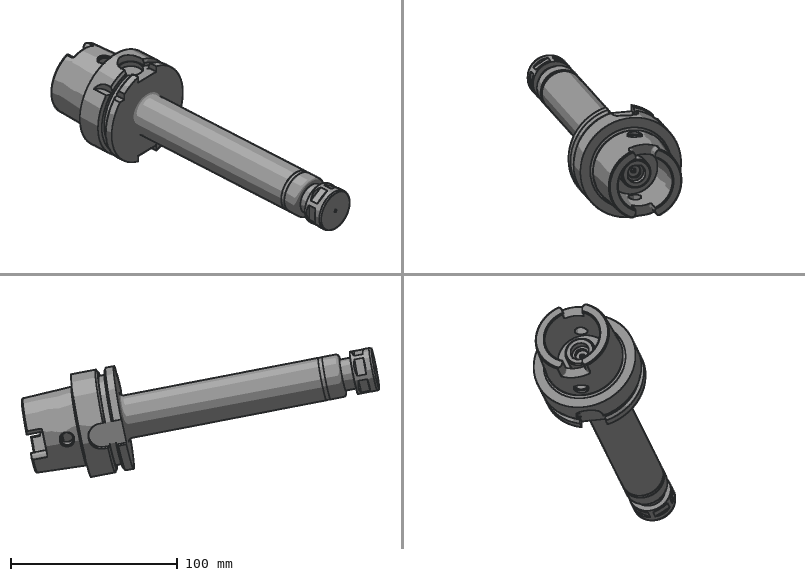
import cadquery as cq
import math

total_length = 212.0
through_radius = 0.8

taper_front_radius = 22.8
taper_back_radius = 24.06
taper_end = 29.5
rim_chamfer_length = 0.8
rim_chamfer_depth = 0.6
relief_size = 1.3
relief_depth = 0.32

flange_front = 32.0
flange_back = 58.0
flange_radius = 31.48
groove_front = 46.9
groove_back = 53.2
groove_lip = 1.3
groove_lip_radius = 29.5
groove_radius = 27.3

shank_radius = 13.04
shank_fillet = 2.8
nut_radius = shank_radius
shank_end = 192.0
shank_end_round = 2.1
band_front = 179.5
band_back = 182.1
band_depth = 0.1
neck_radius = 9.5
nut_front = 198.9
nut_front_bevel_depth = 0.1
nut_front_bevel_length = 1.3
nut_chamfer_length = 1.3
nut_chamfer_depth = 0.5

bore_radius = 17.0
bore_rim_chamfer = 0.6
bore_floor_radius = 15.7
bore_straight = 12.0
bore_floor = 28.6
tube_radius = 9.1
tube_chamfer = 0.8
tube_length = 9.1
tube_bore_radius = 5.62
tube_bore_depth = 4.2
tube_seat_radius = 3.92
tube_seat_depth = 2.1
feed_radius = 1.5
feed_depth = 2.1

drive_slot_width = 12.3
drive_slot_top_depth = 6.0
drive_slot_bottom_depth = 9.8
drive_edge_radius = 3.0
drive_edge_height = 20.8
drive_corner_radius = 1.0

access_x = 23.3
access_radius = 3.8
access_mouth_radius = 4.5
access_mouth_height = 22.5

key_center_x = 44.5
key_width = 16.0
key_floor = 26.5
pocket_radius = 7.5
pocket_depth = 3.2
notch_center_x = 43.7
notch_radius = 7.95
notch_floor = 20.1

flat_count = 6
flat_distance = 11.98
flat_start = 201.5
flat_end = 206.7
flat_end_slope = 0.5
flat_width = 2 * nut_radius


def revolve_about_x(profile):
    return profile.close().revolve(360, (0, 0, 0), (1, 0, 0))


def turned_body():
    relief_front = flange_front - relief_size
    relief_outer = taper_back_radius + relief_size
    relief_middle = (flange_front + relief_depth, taper_back_radius - relief_depth)
    end_round_middle = shank_end_round * (1 - math.sqrt(0.5))
    shank_middle = shank_fillet * (1 - math.sqrt(0.5))
    profile = (
        cq.Workplane("XY")
        .lineTo(0, taper_front_radius - rim_chamfer_depth)
        .lineTo(rim_chamfer_length, taper_front_radius)
        .lineTo(taper_end, taper_back_radius)
        .lineTo(relief_front, taper_back_radius)
        .threePointArc(relief_middle, (flange_front, relief_outer))
        .lineTo(flange_front, flange_radius)
        .lineTo(groove_front, flange_radius)
        .lineTo(groove_front + groove_lip, groove_lip_radius)
        .lineTo(groove_front + groove_lip, groove_radius)
        .lineTo(groove_back - groove_lip, groove_radius)
        .lineTo(groove_back - groove_lip, groove_lip_radius)
        .lineTo(groove_back, flange_radius)
        .lineTo(flange_back, flange_radius)
        .lineTo(flange_back, shank_radius + shank_fillet)
        .threePointArc(
            (flange_back + shank_middle, shank_radius + shank_middle),
            (flange_back + shank_fillet, shank_radius),
        )
        .lineTo(band_front, shank_radius)
        .lineTo(band_front, shank_radius - band_depth)
        .lineTo(band_back, shank_radius - band_depth)
        .lineTo(band_back, shank_radius)
        .lineTo(shank_end - shank_end_round, shank_radius)
        .threePointArc(
            (shank_end - end_round_middle, shank_radius - end_round_middle),
            (shank_end, shank_radius - shank_end_round),
        )
        .lineTo(shank_end, neck_radius)
        .lineTo(nut_front, neck_radius)
        .lineTo(nut_front, nut_radius - nut_front_bevel_depth)
        .lineTo(nut_front + nut_front_bevel_length, nut_radius)
        .lineTo(total_length - nut_chamfer_length, nut_radius)
        .lineTo(total_length, nut_radius - nut_chamfer_depth)
        .lineTo(total_length, 0)
    )
    return revolve_about_x(profile)


def bore():
    tube_front = bore_floor - tube_length
    seat_front = tube_front + tube_bore_depth
    feed_front = seat_front + tube_seat_depth
    feed_end = feed_front + feed_depth
    profile = (
        cq.Workplane("XY")
        .lineTo(0, bore_radius + bore_rim_chamfer)
        .lineTo(bore_rim_chamfer, bore_radius)
        .lineTo(bore_straight, bore_radius)
        .lineTo(bore_floor, bore_floor_radius)
        .lineTo(bore_floor, tube_radius)
        .lineTo(tube_front + tube_chamfer, tube_radius)
        .lineTo(tube_front, tube_radius - tube_chamfer)
        .lineTo(tube_front, tube_bore_radius)
        .lineTo(seat_front, tube_bore_radius)
        .lineTo(seat_front, tube_seat_radius)
        .lineTo(feed_front, tube_seat_radius)
        .lineTo(feed_front, feed_radius)
        .lineTo(feed_end, feed_radius)
        .lineTo(feed_end, through_radius)
        .lineTo(total_length, through_radius)
        .lineTo(total_length, 0)
    )
    return revolve_about_x(profile)


def drive_slot(depth):
    """Slot on the +Z side whose walls round over into the taper's outside."""
    half_width = drive_slot_width / 2
    outer_half = half_width + drive_edge_radius
    round_start = drive_edge_height - drive_edge_radius
    round_offset = drive_edge_radius * math.sqrt(0.5)
    round_middle = (outer_half - round_offset, round_start + round_offset)
    return (
        cq.Workplane("YZ")
        .moveTo(-half_width, 0)
        .lineTo(half_width, 0)
        .lineTo(half_width, round_start)
        .threePointArc(round_middle, (outer_half, drive_edge_height))
        .lineTo(outer_half, flange_radius)
        .lineTo(-outer_half, flange_radius)
        .lineTo(-outer_half, drive_edge_height)
        .threePointArc((-round_middle[0], round_middle[1]), (-half_width, round_start))
        .close()
        .extrude(depth)
        .edges("|Z and >X")
        .fillet(drive_corner_radius)
    )


def access_hole():
    """Radial hole on the +Z side with a 45 degree countersink at its mouth."""
    sink = access_mouth_radius - access_radius
    hole = (
        cq.Workplane("XY", origin=(access_x, 0, tube_radius))
        .circle(access_radius)
        .extrude(flange_radius - tube_radius)
    )
    mouth = (
        cq.Workplane("XZ", origin=(access_x, 0, access_mouth_height))
        .moveTo(0, -sink)
        .lineTo(access_radius, -sink)
        .lineTo(access_mouth_radius, 0)
        .lineTo(access_mouth_radius, flange_radius - access_mouth_height)
        .lineTo(0, flange_radius - access_mouth_height)
        .close()
        .revolve(360, (0, 0, 0), (0, 1, 0))
    )
    return hole.union(mouth)


def milled_slot(end_x, end_y, floor, radius):
    """Slot along X with a flat floor, a round front end and an open back at the flange's rear."""
    height = flange_radius - floor
    length = flange_back - end_x
    round_end = cq.Workplane("XY", origin=(end_x, end_y, floor)).circle(radius).extrude(height)
    straight = (
        cq.Workplane("XY", origin=(end_x + length / 2, end_y, floor))
        .rect(length, 2 * radius)
        .extrude(height)
    )
    return round_end.union(straight)


def key_slot():
    return milled_slot(key_center_x, 0, key_floor, key_width / 2)


def data_pocket():
    plane = cq.Workplane("XY", origin=(key_center_x, 0, key_floor - pocket_depth))
    return plane.circle(pocket_radius).extrude(flange_radius - key_floor + pocket_depth)


def orientation_notch():
    """Right-angled corner notch at -Y +Z: its side wall is as far from the axis as its floor."""
    return milled_slot(notch_center_x, -notch_floor - notch_radius, notch_floor, notch_radius)


def nut_flats():
    """Wrench flats with sloped ends; the first flat faces -Y."""
    slope = nut_radius - flat_distance
    cutter = (
        cq.Workplane("XY")
        .moveTo(flat_start, -flat_distance)
        .lineTo(flat_end, -flat_distance)
        .lineTo(flat_end + flat_end_slope, -flat_distance - slope)
        .lineTo(flat_start - slope, -flat_distance - slope)
        .close()
        .extrude(flat_width / 2, both=True)
    )
    flats = cutter
    for index in range(1, flat_count):
        flats = flats.union(cutter.rotate((0, 0, 0), (1, 0, 0), index * 360 / flat_count))
    return flats


def to_opposite_side(feature):
    return feature.rotate((0, 0, 0), (1, 0, 0), 180)


result = turned_body().cut(bore())
result = result.cut(drive_slot(drive_slot_top_depth))
result = result.cut(to_opposite_side(drive_slot(drive_slot_bottom_depth)))
for radial_cut in (access_hole(), key_slot()):
    result = result.cut(radial_cut).cut(to_opposite_side(radial_cut))
result = result.cut(data_pocket()).cut(orientation_notch()).cut(nut_flats())